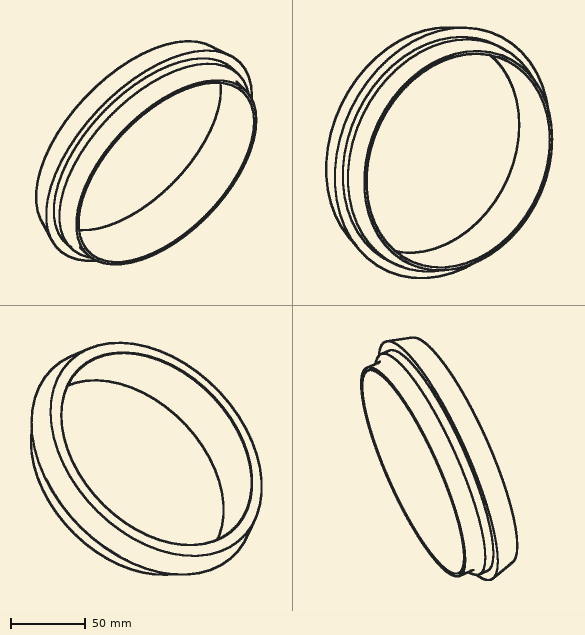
import cadquery as cq

length = 37.0
rim_diameter = 176.0
front_diameter = 166.7
shoulder_diameter = 163.0
spigot_diameter = 154.0
bore_diameter = 150.0
bore_mouth_diameter = 150.7

front_face_rise = 0.7
bore_mouth_depth = 0.4
rim_end = 18.0
shoulder_end = 24.1
fillet_radius = 3.2

spigot_radius = spigot_diameter / 2
fillet_end = shoulder_end + fillet_radius
fillet_mid = (
    fillet_end - fillet_radius * 0.5**0.5,
    spigot_radius + fillet_radius * (1 - 0.5**0.5),
)

section = (
    cq.Workplane("XY")
    .moveTo(0, bore_mouth_diameter / 2)
    .lineTo(front_face_rise, front_diameter / 2)
    .lineTo(rim_end, rim_diameter / 2)
    .lineTo(rim_end, shoulder_diameter / 2)
    .lineTo(shoulder_end, shoulder_diameter / 2)
    .lineTo(shoulder_end, spigot_radius + fillet_radius)
    .threePointArc(fillet_mid, (fillet_end, spigot_radius))
    .lineTo(length, spigot_radius)
    .lineTo(length, bore_diameter / 2)
    .lineTo(bore_mouth_depth, bore_diameter / 2)
    .close()
)

result = section.revolve(360, (0, 0, 0), (1, 0, 0))